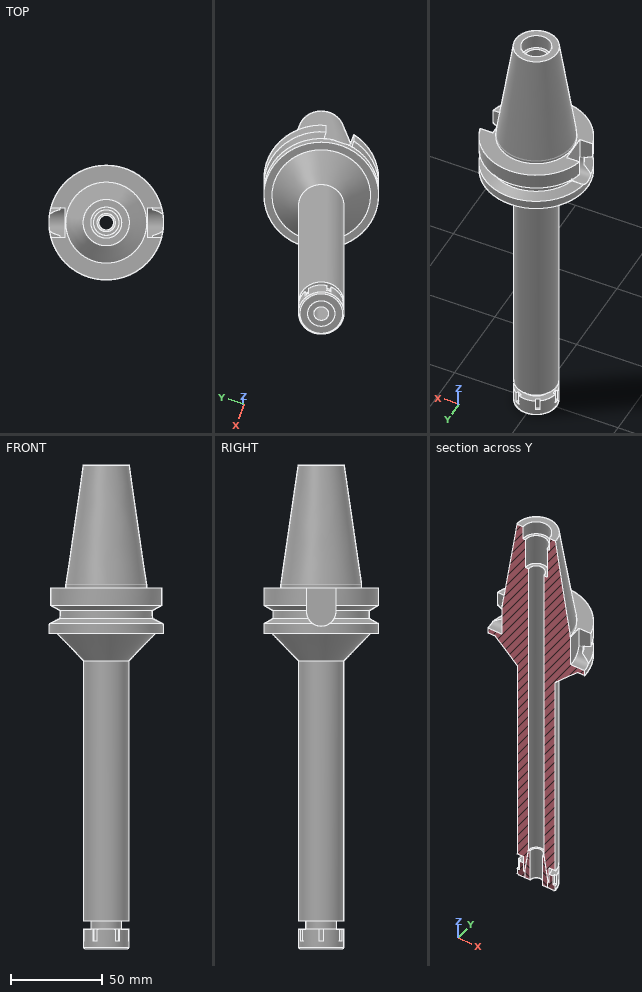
import cadquery as cq
import math


GAUGE_DIAMETER = 44.45
TAPER_PER_LENGTH = 7 / 24
TAPER_LENGTH = 65.4
SMALL_END_DIAMETER = GAUGE_DIAMETER - TAPER_LENGTH * TAPER_PER_LENGTH

FLANGE_DIAMETER = 63.0
FLANGE_TOP = -2.0
FLANGE_BOTTOM = -27.0
GROOVE_DIAMETER = 53.0
GROOVE_WIDTH = 10.0
GROOVE_CENTER = -16.6
GROOVE_HALF_ANGLE = math.radians(30)

SLOT_WIDTH = 16.1
SLOT_BOTTOM = -23.0
SLOT_END_RADIUS = SLOT_WIDTH / 2
SLOT_FLOOR_OFFSET = 22.6

CONE_TOP_DIAMETER = 54.0
EXTENSION_DIAMETER = 25.0
CONE_HEIGHT = 15.0
CONE_BOTTOM = FLANGE_BOTTOM - CONE_HEIGHT
EXTENSION_BOTTOM = -184.6
NOSE_DIAMETER = 17.0

COUNTERBORE_DIAMETER = 17.0
COUNTERBORE_DEPTH = 9.0
DRAWBAR_BORE_DIAMETER = 14.0
DRAWBAR_BORE_DEPTH = 30.0
THROUGH_BORE_DIAMETER = 10.0

NUT_BOTTOM = -200.0
NUT_HEIGHT = 11.0
NUT_TOP = NUT_BOTTOM + NUT_HEIGHT
NUT_DIAMETER = EXTENSION_DIAMETER
NUT_CHAMFER = 0.8
WRENCH_SLOT_COUNT = 6
WRENCH_SLOT_WIDTH = 2.5
WRENCH_SLOT_LENGTH = 6.5
WRENCH_SLOT_DEPTH = 1.5
NOSE_ENGAGEMENT = 6.5
NOSE_BOTTOM = NUT_TOP - NOSE_ENGAGEMENT

COLLET_HALF_ANGLE = math.radians(8)
COLLET_LARGE_DIAMETER = 15.0
COLLET_BORE_DIAMETER = 8.0
COLLET_SMALL_DIAMETER = THROUGH_BORE_DIAMETER
COLLET_CONE_DEPTH = (COLLET_LARGE_DIAMETER - COLLET_SMALL_DIAMETER) / 2
COLLET_TOP = NOSE_BOTTOM + COLLET_CONE_DEPTH / math.tan(COLLET_HALF_ANGLE)


def revolve_profile(points):
    """Revolve a closed outline of (radius, z) points about the Z axis."""
    return cq.Workplane("YZ").polyline(points).close().revolve(360, (0, 0, 0), (0, 1, 0))


def cylinder(diameter, bottom, top):
    """Cylinder on the Z axis between two heights."""
    return cq.Workplane("XY").workplane(offset=bottom).circle(diameter / 2).extrude(top - bottom)


def make_collet_blank():
    """Outer shape of the collet: a cone in the nose above a straight end in the nut."""
    return revolve_profile([
        (0, NUT_BOTTOM),
        (COLLET_LARGE_DIAMETER / 2, NUT_BOTTOM),
        (COLLET_LARGE_DIAMETER / 2, NOSE_BOTTOM),
        (COLLET_SMALL_DIAMETER / 2, COLLET_TOP),
        (0, COLLET_TOP),
    ])


def make_drive_slot(side):
    """Cutter for one round-bottomed drive slot, open to the taper side; side is +1 or -1."""
    round_center = SLOT_BOTTOM + SLOT_END_RADIUS
    depth = FLANGE_DIAMETER / 2 - SLOT_FLOOR_OFFSET
    return (
        cq.Workplane("YZ")
        .workplane(offset=side * SLOT_FLOOR_OFFSET)
        .moveTo(-SLOT_WIDTH / 2, FLANGE_TOP)
        .lineTo(-SLOT_WIDTH / 2, round_center)
        .threePointArc((0, SLOT_BOTTOM), (SLOT_WIDTH / 2, round_center))
        .lineTo(SLOT_WIDTH / 2, FLANGE_TOP)
        .close()
        .extrude(side * depth)
    )


def make_holder():
    """Taper shank, flange, extension and nose in one piece, with the bores and the collet seat."""
    flange_radius = FLANGE_DIAMETER / 2
    groove_radius = GROOVE_DIAMETER / 2
    groove_half_width = GROOVE_WIDTH / 2
    floor_half_width = groove_half_width - (flange_radius - groove_radius) * math.tan(GROOVE_HALF_ANGLE)
    holder = revolve_profile([
        (0, TAPER_LENGTH),
        (SMALL_END_DIAMETER / 2, TAPER_LENGTH),
        (GAUGE_DIAMETER / 2, 0),
        (GAUGE_DIAMETER / 2, FLANGE_TOP),
        (flange_radius, FLANGE_TOP),
        (flange_radius, GROOVE_CENTER + groove_half_width),
        (groove_radius, GROOVE_CENTER + floor_half_width),
        (groove_radius, GROOVE_CENTER - floor_half_width),
        (flange_radius, GROOVE_CENTER - groove_half_width),
        (flange_radius, FLANGE_BOTTOM),
        (CONE_TOP_DIAMETER / 2, FLANGE_BOTTOM),
        (EXTENSION_DIAMETER / 2, CONE_BOTTOM),
        (EXTENSION_DIAMETER / 2, EXTENSION_BOTTOM),
        (NOSE_DIAMETER / 2, EXTENSION_BOTTOM),
        (NOSE_DIAMETER / 2, NOSE_BOTTOM),
        (0, NOSE_BOTTOM),
    ])
    for side in (1, -1):
        holder = holder.cut(make_drive_slot(side))
    holder = holder.cut(cylinder(COUNTERBORE_DIAMETER, TAPER_LENGTH - COUNTERBORE_DEPTH, TAPER_LENGTH))
    holder = holder.cut(cylinder(DRAWBAR_BORE_DIAMETER, TAPER_LENGTH - DRAWBAR_BORE_DEPTH, TAPER_LENGTH))
    holder = holder.cut(cylinder(THROUGH_BORE_DIAMETER, COLLET_TOP, TAPER_LENGTH))
    return holder.cut(make_collet_blank())


def make_collet():
    """Collet with its tool bore."""
    return make_collet_blank().cut(cylinder(COLLET_BORE_DIAMETER, NUT_BOTTOM, COLLET_TOP))


def make_nut():
    """Clamping nut around the nose and the collet, with wrench slots open to its top face."""
    nut = cylinder(NUT_DIAMETER, NUT_BOTTOM, NUT_TOP).faces("<Z").chamfer(NUT_CHAMFER)
    nut = nut.cut(cylinder(NOSE_DIAMETER, NOSE_BOTTOM, NUT_TOP))
    nut = nut.cut(make_collet_blank())
    slot_floor = NUT_DIAMETER / 2 - WRENCH_SLOT_DEPTH
    wrench_slot = (
        cq.Workplane("XY")
        .box(NUT_DIAMETER / 2, WRENCH_SLOT_WIDTH, WRENCH_SLOT_LENGTH, centered=(False, True, False))
        .translate((slot_floor, 0, NUT_TOP - WRENCH_SLOT_LENGTH))
    )
    for index in range(WRENCH_SLOT_COUNT):
        angle = index * 360 / WRENCH_SLOT_COUNT
        nut = nut.cut(wrench_slot.rotate((0, 0, 0), (0, 0, 1), angle))
    return nut


holder = make_holder()
collet = make_collet()
nut = make_nut()

result = cq.Compound.makeCompound([holder.val(), collet.val(), nut.val()])